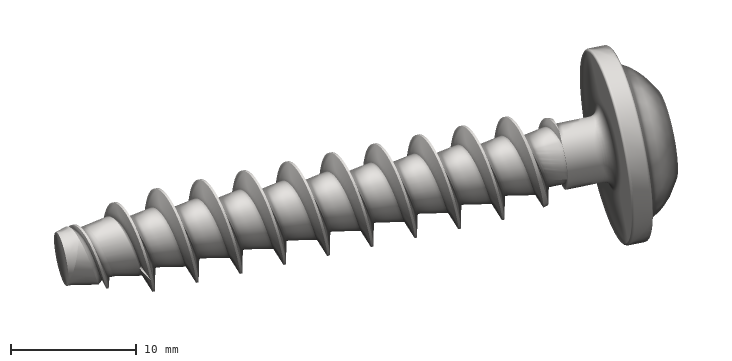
import cadquery as cq
import math


total_length = 49.8
head_height = 4.95
flange_radius = 16.0 / 2
flange_thickness = 1.75
flange_edge_radius = 0.2
dome_base_radius = 6.65
dome_mid_radius = 5.5
dome_mid_height = 3.6
dome_top_radius = 3.75

shank_radius = 5.35 / 2
neck_fillet = 0.85
core_radius = 2.2
thread_top = -3.85
tip = head_height - total_length

cylinder = 360
thread_length = 36.0
turns = 10
pitch = thread_length / turns
helix_start = -38.5
crest_radius = 8.0 / 2
crest_half_width = 0.1
upper_root = 0.55
lower_root = -0.65
ridge_radius = 2.6
turn_gap = 0.075
ridge_end = upper_root + turn_gap - pitch
ridge_end_radius = core_radius - 0.025
sunk_radius = 2.05

start_radius = 3.15
start_length = 3.3
clearance = 7.45

end_turns = 1.5
end_drop = 1.65
end_length = end_turns * pitch
end_phase = -360 * end_turns
tip_cone_radius = 4.45
tip_cone_length = 7.45


def make_head():
    """Domed head on a flat round flange with softened edges."""
    flange = cq.Workplane("XY").circle(flange_radius).extrude(flange_thickness)
    flange = flange.edges().fillet(flange_edge_radius)
    dome = (
        cq.Workplane("XZ")
        .moveTo(0, 0)
        .lineTo(dome_base_radius, 0)
        .lineTo(dome_base_radius, flange_thickness)
        .threePointArc((dome_mid_radius, dome_mid_height), (dome_top_radius, head_height))
        .lineTo(0, head_height)
        .close()
        .revolve(360, (0, 0), (0, 1))
    )
    return flange.union(dome)


def make_shank():
    """Plain neck with a fillet under the head, then the slimmer thread core."""
    fillet_radius = shank_radius + neck_fillet
    return (
        cq.Workplane("XZ")
        .moveTo(0, flange_thickness / 2)
        .lineTo(fillet_radius, flange_thickness / 2)
        .lineTo(fillet_radius, 0)
        .radiusArc((shank_radius, -neck_fillet), -neck_fillet)
        .lineTo(shank_radius, thread_top)
        .lineTo(core_radius, thread_top)
        .lineTo(core_radius, tip)
        .lineTo(0, tip)
        .close()
        .revolve(360, (0, 0), (0, 1))
    )


def sweep_coil(profile, turn_count, start_height, cone_angle=cylinder):
    """Sweep an (X, Z) profile up a right-hand helix that widens by the cone angle."""
    slant_pitch = pitch / math.cos(math.radians(cone_angle))
    start = cq.Vector(0, 0, start_height)
    path = cq.Wire.makeHelix(slant_pitch, slant_pitch * turn_count, core_radius, start, angle=cone_angle)
    return (
        cq.Workplane("XZ", origin=(0, 0, start_height))
        .polyline(profile)
        .close()
        .sweep(cq.Workplane(obj=path), isFrenet=True)
    )


def make_envelope():
    """Cone that cuts the first thread turns down towards the neck."""
    start_taper = (crest_radius - start_radius) / start_length
    return (
        cq.Workplane("XZ")
        .moveTo(0, thread_top)
        .lineTo(start_radius, thread_top)
        .lineTo(start_radius + start_taper * clearance, thread_top - clearance)
        .lineTo(start_radius + start_taper * clearance, tip)
        .lineTo(0, tip)
        .close()
        .revolve(360, (0, 0), (0, 1))
    )


def make_thread():
    """Full thread whose root slopes inward from each flank to the next turn."""
    profile = [
        (sunk_radius, upper_root),
        (crest_radius, crest_half_width),
        (crest_radius, -crest_half_width),
        (ridge_radius, lower_root),
        (ridge_end_radius, ridge_end),
        (sunk_radius, ridge_end),
    ]
    return sweep_coil(profile, turns, helix_start).intersect(make_envelope())


def make_tip_root():
    """Sloping root without its crest, carried on around the tip."""
    profile = [
        (sunk_radius, 0),
        (ridge_radius, lower_root),
        (ridge_end_radius, ridge_end),
        (sunk_radius, ridge_end),
    ]
    coil = sweep_coil(profile, end_turns, helix_start - end_length)
    coil = coil.rotate((0, 0, 0), (0, 0, 1), end_phase)
    cone = cq.Solid.makeCone(core_radius, tip_cone_radius, tip_cone_length, cq.Vector(0, 0, tip))
    return coil.intersect(cq.Workplane(obj=cone))


def make_tip_crest():
    """Crest that sinks into the core on a conical helix towards the tip."""
    root_radius = sunk_radius - end_drop
    profile = [
        (root_radius, upper_root),
        (crest_radius - end_drop, crest_half_width),
        (crest_radius - end_drop, -crest_half_width),
        (root_radius, lower_root),
    ]
    cone_angle = math.degrees(math.atan(end_drop / end_length))
    coil = sweep_coil(profile, end_turns, helix_start - end_length, cone_angle)
    return coil.rotate((0, 0, 0), (0, 0, 1), end_phase)


screw = make_shank()
for feature in (make_thread(), make_tip_root(), make_tip_crest(), make_head()):
    screw = screw.union(feature)
result = screw.rotate((0, 0, 0), (1, 0, 0), -90)